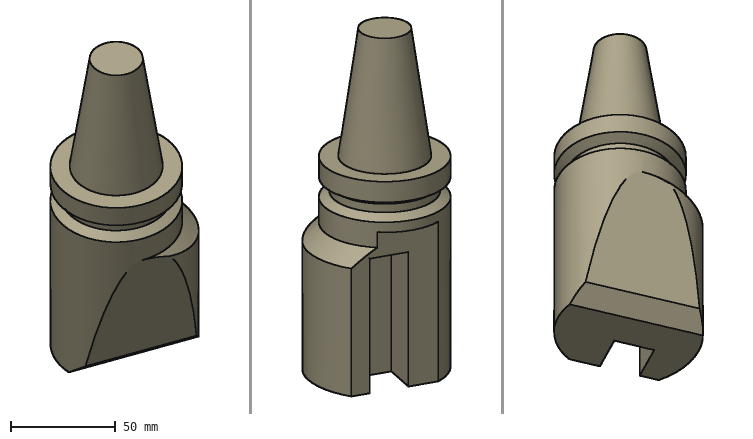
import cadquery as cq

TOTAL_HEIGHT = 175.4
FLANGE_BOTTOM = 82.8
FLANGE_TOP = 109.1
TAPER_START = 110.0

TAPER_TOP_RADIUS = 25.5 / 2
TAPER_BASE_RADIUS = 44.4 / 2
FLANGE_RADIUS = 63.0 / 2
GROOVE_RADIUS = 53.0 / 2
GROOVE_BOTTOM_EDGE = 88.0
GROOVE_TOP_EDGE = 98.4
GROOVE_SLOPE_HEIGHT = 3.0

BODY_EXTENSION = 8.6
BODY_RADIUS = FLANGE_RADIUS + BODY_EXTENSION
FLAT_X = -27.2
SHOULDER_TOP = 74.9
SHOULDER_BOTTOM = SHOULDER_TOP - BODY_EXTENSION

RELIEF_START_Z = 74.7
RELIEF_END_X = 19.6
RELIEF_END_Z = 8.6
RELIEF_BOTTOM_X = RELIEF_END_X - RELIEF_END_Z

SLOT_WIDTH = 20.2
SLOT_DEPTH = 20.2
SLOT_Y_MIN = -0.4
SLOT_HEIGHT = 69.8


def box_between(low, high):
    size = [b - a for a, b in zip(low, high)]
    return cq.Workplane("XY").box(*size, centered=False).translate(low)


def make_spindle():
    """Revolved taper and flange with its V-sided gripper groove."""
    profile = [
        (0, FLANGE_BOTTOM),
        (FLANGE_RADIUS, FLANGE_BOTTOM),
        (FLANGE_RADIUS, GROOVE_BOTTOM_EDGE),
        (GROOVE_RADIUS, GROOVE_BOTTOM_EDGE + GROOVE_SLOPE_HEIGHT),
        (GROOVE_RADIUS, GROOVE_TOP_EDGE - GROOVE_SLOPE_HEIGHT),
        (FLANGE_RADIUS, GROOVE_TOP_EDGE),
        (FLANGE_RADIUS, FLANGE_TOP),
        (TAPER_BASE_RADIUS, FLANGE_TOP),
        (TAPER_BASE_RADIUS, TAPER_START),
        (TAPER_TOP_RADIUS, TOTAL_HEIGHT),
        (0, TOTAL_HEIGHT),
    ]
    return cq.Workplane("XZ").polyline(profile).close().revolve(360, (0, 0), (0, 1))


def make_bulge():
    """Wide part of the body on +Y, with a conical shoulder on top."""
    profile = [
        (0, 0),
        (BODY_RADIUS, 0),
        (BODY_RADIUS, SHOULDER_BOTTOM),
        (FLANGE_RADIUS, SHOULDER_TOP),
        (0, SHOULDER_TOP),
    ]
    cone = cq.Workplane("XZ").polyline(profile).close().revolve(360, (0, 0), (0, 1))
    outline = (
        cq.Workplane("XY")
        .moveTo(-BODY_RADIUS, 0)
        .radiusArc((0, BODY_RADIUS), BODY_RADIUS)
        .radiusArc((FLANGE_RADIUS, BODY_EXTENSION), FLANGE_RADIUS)
        .lineTo(FLANGE_RADIUS, 0)
        .close()
        .extrude(SHOULDER_TOP)
    )
    return cone.intersect(outline)


def make_body():
    body = cq.Workplane("XY").circle(FLANGE_RADIUS).extrude(FLANGE_BOTTOM).union(make_bulge())
    flat_cut = box_between(
        (-2 * BODY_RADIUS, -BODY_RADIUS, 0), (FLAT_X, BODY_RADIUS, FLANGE_BOTTOM)
    )
    relief = (
        cq.Workplane("XZ")
        .polyline([
            (RELIEF_BOTTOM_X, 0),
            (RELIEF_END_X, RELIEF_END_Z),
            (FLANGE_RADIUS, RELIEF_START_Z),
            (2 * BODY_RADIUS, RELIEF_START_Z),
            (2 * BODY_RADIUS, 0),
        ])
        .close()
        .extrude(BODY_RADIUS, both=True)
    )
    slot = box_between(
        (FLAT_X, SLOT_Y_MIN, 0), (FLAT_X + SLOT_DEPTH, SLOT_Y_MIN + SLOT_WIDTH, SLOT_HEIGHT)
    )
    return body.cut(flat_cut).cut(relief).cut(slot)


result = make_spindle().union(make_body())